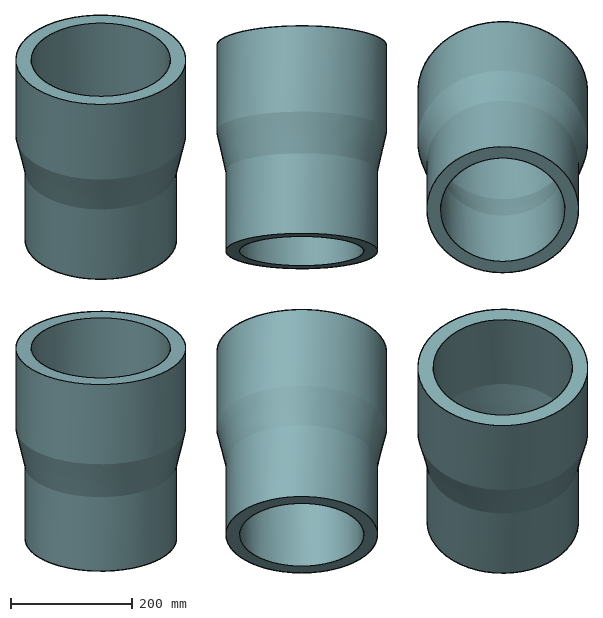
import cadquery as cq

large_diameter = 280.0
large_wall = 25.4
small_diameter = 250.0
small_wall = 22.7

total_length = 348.0
large_length = 146.0
small_length = 135.0

large_radius = large_diameter / 2
small_radius = small_diameter / 2
large_bore_radius = large_radius - large_wall
small_bore_radius = small_radius - small_wall

taper_bottom = small_length
taper_top = total_length - large_length


def reducer_body():
    """Revolve the wall section (radius, height) about the Z axis."""
    wall_section = (
        cq.Workplane("XZ")
        .moveTo(small_bore_radius, 0)
        .lineTo(small_radius, 0)
        .lineTo(small_radius, taper_bottom)
        .lineTo(large_radius, taper_top)
        .lineTo(large_radius, total_length)
        .lineTo(large_bore_radius, total_length)
        .lineTo(large_bore_radius, taper_top)
        .lineTo(small_bore_radius, taper_bottom)
        .close()
    )
    return wall_section.revolve(360, (0, 0, 0), (0, 1, 0))


result = reducer_body()